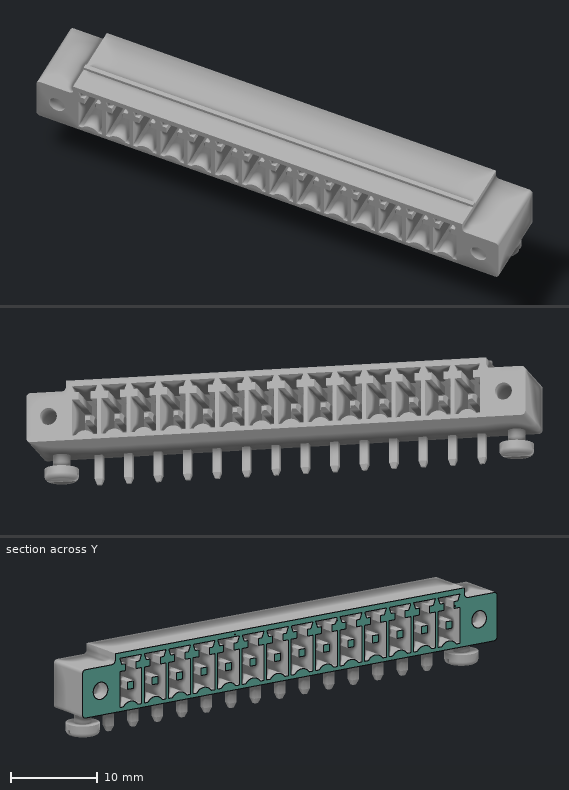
import cadquery as cq

total_length = 59.3
body_depth = 9.2
body_height = 7.1
corner_radius = 0.5
flange_length = 4.7
flange_height = 5.9
front_y = -body_depth / 2

rib_width = 0.55
rib_height = 0.35
rib_y = -1.4

contact_count = 14
pitch = 3.5
chamber_width = 3.0
chamber_floor = 0.55
chamber_top = 6.4
chamber_depth = 7.1
shoulder_height = 4.8
key_neck_width = 1.4
key_ledge_height = 5.7
key_ledge_width = 2.5
floor_ridge_base = 2.1
floor_ridge_height = 0.55

pin_width = 0.95
pin_tip_width = 0.5
pin_tip_length = 0.65
contact_height = 2.95
contact_recess = 1.8
solder_pin_y = 3.4
solder_pin_end = -3.5

fixing_x = 27.05
bore_height = contact_height
bore_diameter = 2.0
bore_depth = 5.95
screw_y = 2.5
shank_diameter = bore_diameter
shank_length = 1.6
head_diameter = 4.0
head_height = 1.4
head_rounding = 0.55
slot_width = 0.55
slot_depth = 0.8


def make_body():
    """Stepped housing: a tall middle between two lower end flanges."""
    half_length = total_length / 2
    half_middle = half_length - flange_length
    body = (
        cq.Workplane("XZ", origin=(0, body_depth / 2, 0))
        .moveTo(-half_length, 0)
        .lineTo(half_length, 0)
        .lineTo(half_length, flange_height)
        .lineTo(half_middle, flange_height)
        .lineTo(half_middle, body_height)
        .lineTo(-half_middle, body_height)
        .lineTo(-half_middle, flange_height)
        .lineTo(-half_length, flange_height)
        .close()
        .extrude(body_depth)
    )
    body = body.edges("|Y and (<X or >X)").fillet(corner_radius)
    for side in (-1, 1):
        step_corner = cq.selectors.NearestToPointSelector((side * half_middle, 0, flange_height))
        body = body.edges(step_corner).fillet(corner_radius)
    rib = (
        cq.Workplane("XY", origin=(0, rib_y, body_height))
        .rect(2 * half_middle, rib_width)
        .extrude(rib_height)
    )
    return body.union(rib)


def make_chamber():
    """Keyed chamber with a rounded ridge along its floor, centred on X = 0."""
    ridge_top = chamber_floor + floor_ridge_height
    right_side = [
        (floor_ridge_base / 2, chamber_floor),
        (chamber_width / 2, chamber_floor),
        (chamber_width / 2, shoulder_height),
        (key_neck_width / 2, shoulder_height),
        (key_neck_width / 2, key_ledge_height),
        (key_ledge_width / 2, key_ledge_height),
        (chamber_width / 2, chamber_top),
    ]
    left_side = [(-x, z) for x, z in reversed(right_side)]
    return (
        cq.Workplane("XZ", origin=(0, front_y, 0))
        .polyline(right_side + left_side)
        .threePointArc((0, ridge_top), right_side[0])
        .close()
        .extrude(-chamber_depth)
    )


def add_pin_tip(end_face):
    """Extend the selected square pin end with a tapered tip."""
    return (
        end_face.workplane(centerOption="CenterOfMass")
        .rect(pin_width, pin_width)
        .workplane(offset=pin_tip_length)
        .rect(pin_tip_width, pin_tip_width)
        .loft(combine=True)
    )


def make_contact():
    """Angled pin: a contact in the chamber and a solder pin below the body."""
    contact_end = front_y + contact_recess
    contact_shoulder = contact_end + pin_tip_length
    contact = (
        cq.Workplane("XZ", origin=(0, contact_shoulder, contact_height))
        .rect(pin_width, pin_width)
        .extrude(contact_shoulder - solder_pin_y - pin_width / 2)
    )
    solder_shoulder = solder_pin_end + pin_tip_length
    solder_pin = (
        cq.Workplane("XY", origin=(0, solder_pin_y, solder_shoulder))
        .rect(pin_width, pin_width)
        .extrude(contact_height - solder_shoulder)
    )
    contact_with_tip = add_pin_tip(contact.faces("<Y"))
    solder_pin_with_tip = add_pin_tip(solder_pin.faces("<Z"))
    return contact_with_tip.union(solder_pin_with_tip)


def make_screw():
    """Slotted screw below the flange, its axis along Z at the origin."""
    head_bottom = -shank_length - head_height
    shank = cq.Workplane("XY").circle(shank_diameter / 2).extrude(-shank_length)
    head = (
        cq.Workplane("XY", origin=(0, 0, head_bottom))
        .circle(head_diameter / 2)
        .extrude(head_height)
        .faces("<Z")
        .edges()
        .fillet(head_rounding)
    )
    slot = (
        cq.Workplane("XY", origin=(0, 0, head_bottom))
        .rect(head_diameter, slot_width)
        .extrude(slot_depth)
    )
    return shank.union(head.cut(slot))


result = make_body()
chamber = make_chamber()
contact = make_contact()
screw = make_screw()

for index in range(contact_count):
    x = (index - (contact_count - 1) / 2) * pitch
    result = result.cut(chamber.translate((x, 0, 0)))
    result = result.union(contact.translate((x, 0, 0)))

for x in (-fixing_x, fixing_x):
    bore = (
        cq.Workplane("XZ", origin=(x, front_y, bore_height))
        .circle(bore_diameter / 2)
        .extrude(-bore_depth)
    )
    result = result.cut(bore)
    result = result.union(screw.translate((x, screw_y, 0)))